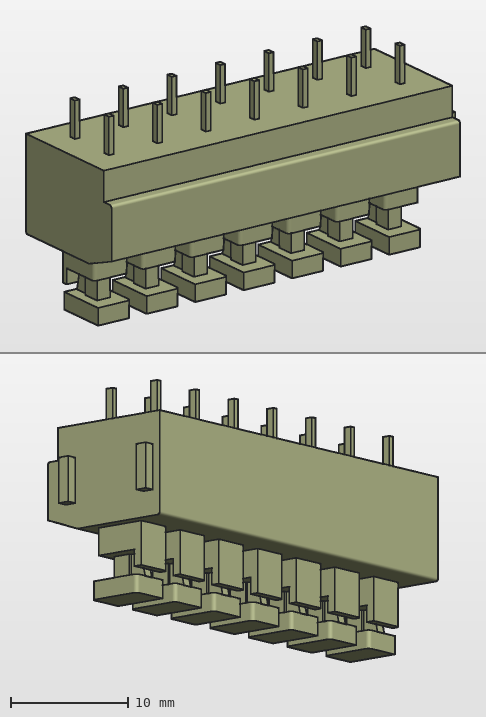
import cadquery as cq

TOTAL_LENGTH = 37.55
TOTAL_HEIGHT = 18.7

LUG_LENGTH = 0.95
BODY_LENGTH = TOTAL_LENGTH - LUG_LENGTH
BODY_WIDTH = 12.6
BODY_HEIGHT = 9.1
TOP_WIDTH = 11.45
SHOULDER_DROP = 2.85
SHOULDER_HEIGHT = BODY_HEIGHT - SHOULDER_DROP
UNDERSIDE_WIDTH = 9.3
SLOPE_HEIGHT = 1.15
EDGE_RADIUS = 0.25

LUG_WIDTH = 1.05
LUG_HEIGHT = 4.0
LUG_BOTTOM = 2.25
LUG_LEFT_EDGES = (0.8, 9.5)

POLE_COUNT = 7
FIRST_POLE_Y = 2.85
POLE_SPAN = 30.57
POLE_PITCH = POLE_SPAN / (POLE_COUNT - 1)

PIN_WIDTH = 0.7
PIN_THICKNESS = 0.5
PIN_HEIGHT = 3.5
PIN_SPACING = 5.0
FIRST_PIN_X = 3.2

GUIDE_OFFSET_Y = 0.5
GUIDE_LEFT = 2.93
GUIDE_WIDTH = 4.8
GUIDE_LENGTH = 3.4
GUIDE_DEPTH = 2.4
LIP_WIDTH = 0.8
LIP_DEPTH = 3.85
CORNER_RADIUS = 0.35

BUTTON_OFFSET_Y = 0.25
BUTTON_LEFT = 3.65
BUTTON_WIDTH = 5.0
BUTTON_LENGTH = 3.4
BUTTON_HEIGHT = 1.6
BUTTON_BOTTOM = BODY_HEIGHT + PIN_HEIGHT - TOTAL_HEIGHT
BUTTON_TOP = BUTTON_BOTTOM + BUTTON_HEIGHT
STEM_LEFT = 5.35
STEM_WIDTH = 1.73
STEM_LENGTH = 1.4
RIB_LENGTH = 0.9
RIB_TOP_LEFT = 4.25
RIB_BOTTOM_LEFT = 3.75


def block(left, width, center_y, length, bottom, height):
    """Box placed by its left side, its middle along Y and its bottom."""
    return (
        cq.Workplane("XY")
        .box(width, length, height, centered=(False, True, False))
        .translate((left, center_y, bottom))
    )


def extrude_along_y(points, start_y, length):
    """Close an XZ outline and extrude it toward +Y."""
    return cq.Workplane("XZ", origin=(0, start_y, 0)).polyline(points).close().extrude(-length)


def make_housing():
    outline = [
        (0, 0),
        (UNDERSIDE_WIDTH, 0),
        (BODY_WIDTH, SLOPE_HEIGHT),
        (BODY_WIDTH, SHOULDER_HEIGHT),
        (TOP_WIDTH, SHOULDER_HEIGHT),
        (TOP_WIDTH, BODY_HEIGHT),
        (0, BODY_HEIGHT),
    ]
    housing = extrude_along_y(outline, 0, BODY_LENGTH)
    middle_y = BODY_LENGTH / 2
    rounded_edges = [(0, middle_y, 0), (BODY_WIDTH, middle_y, SHOULDER_HEIGHT)]
    for edge_middle in rounded_edges:
        housing = housing.edges(cq.NearestToPointSelector(edge_middle)).fillet(EDGE_RADIUS)
    return housing


def make_lug(left):
    return block(left, LUG_WIDTH, BODY_LENGTH + LUG_LENGTH / 2, LUG_LENGTH, LUG_BOTTOM, LUG_HEIGHT)


def make_pin(x, y):
    return block(x - PIN_WIDTH / 2, PIN_WIDTH, y, PIN_THICKNESS, BODY_HEIGHT, PIN_HEIGHT)


def make_guide(y):
    main = block(GUIDE_LEFT, GUIDE_WIDTH, y, GUIDE_LENGTH, -GUIDE_DEPTH, GUIDE_DEPTH)
    lip = block(GUIDE_LEFT, LIP_WIDTH, y, GUIDE_LENGTH, -LIP_DEPTH, LIP_DEPTH)
    main = main.edges("|Z and <Y").fillet(CORNER_RADIUS)
    lip = lip.edges("|Z and <Y and <X").fillet(CORNER_RADIUS)
    return main.union(lip)


def make_button(y):
    cap = block(BUTTON_LEFT, BUTTON_WIDTH, y, BUTTON_LENGTH, BUTTON_BOTTOM, BUTTON_HEIGHT)
    cap = cap.edges("|Z and >Y").fillet(CORNER_RADIUS)
    stem_height = -GUIDE_DEPTH - BUTTON_TOP
    stem = block(STEM_LEFT, STEM_WIDTH, y, STEM_LENGTH, BUTTON_TOP, stem_height)
    rib_outline = [
        (RIB_BOTTOM_LEFT, BUTTON_TOP),
        (STEM_LEFT, BUTTON_TOP),
        (STEM_LEFT, -GUIDE_DEPTH),
        (RIB_TOP_LEFT, -GUIDE_DEPTH),
    ]
    rib = extrude_along_y(rib_outline, y - RIB_LENGTH / 2, RIB_LENGTH)
    return cap.union(stem).union(rib)


result = make_housing()

for lug_left in LUG_LEFT_EDGES:
    result = result.union(make_lug(lug_left))

for pole in range(POLE_COUNT):
    pole_y = FIRST_POLE_Y + pole * POLE_PITCH
    for pin_x in (FIRST_PIN_X, FIRST_PIN_X + PIN_SPACING):
        result = result.union(make_pin(pin_x, pole_y))
    result = result.union(make_guide(pole_y + GUIDE_OFFSET_Y))
    result = result.union(make_button(pole_y + BUTTON_OFFSET_Y))